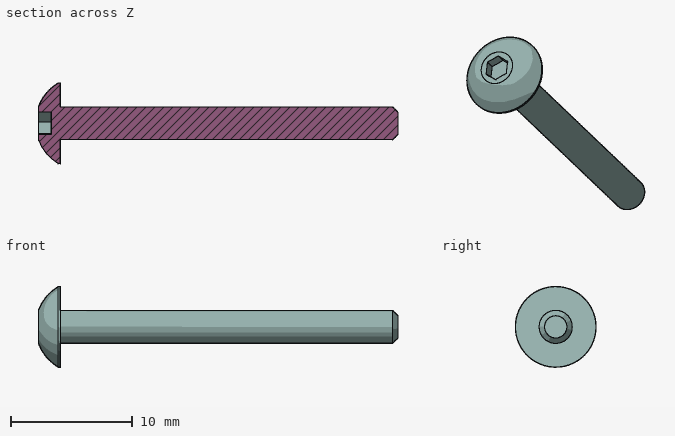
import cadquery as cq
import math

total_length = 29.55
shank_diameter = 2.72
tip_chamfer = 0.45

head_diameter = 6.65
head_height = 1.8
rim_thickness = 0.18
head_face_diameter = 2.78

socket_across_flats = 1.8
socket_depth = 1.03
socket_turn = 7.0

shank_radius = shank_diameter / 2
head_radius = head_diameter / 2
face_radius = head_face_diameter / 2
dome_height = head_height - rim_thickness

dome_center = (head_radius**2 + dome_height**2 - face_radius**2) / (2 * dome_height)
dome_radius = math.hypot(face_radius, dome_center)
dome_mid_radius = (face_radius + head_radius) / 2
dome_mid_x = dome_center - math.sqrt(dome_radius**2 - dome_mid_radius**2)


def make_screw_blank():
    """Head, shank and chamfered tip, revolved about the X axis."""
    return (
        cq.Workplane("XY")
        .lineTo(0, face_radius)
        .threePointArc((dome_mid_x, dome_mid_radius), (dome_height, head_radius))
        .lineTo(head_height, head_radius)
        .lineTo(head_height, shank_radius)
        .lineTo(total_length - tip_chamfer, shank_radius)
        .lineTo(total_length, shank_radius - tip_chamfer)
        .lineTo(total_length, 0)
        .close()
        .revolve(360, (0, 0, 0), (1, 0, 0))
    )


def make_hex_socket():
    """Hexagonal key socket sunk into the head's front face."""
    corner_diameter = socket_across_flats / math.cos(math.radians(30))
    corner_angle = 90 + socket_turn
    return (
        cq.Workplane("YZ")
        .transformed(rotate=(0, 0, corner_angle))
        .polygon(6, corner_diameter)
        .extrude(socket_depth)
    )


result = make_screw_blank().cut(make_hex_socket())